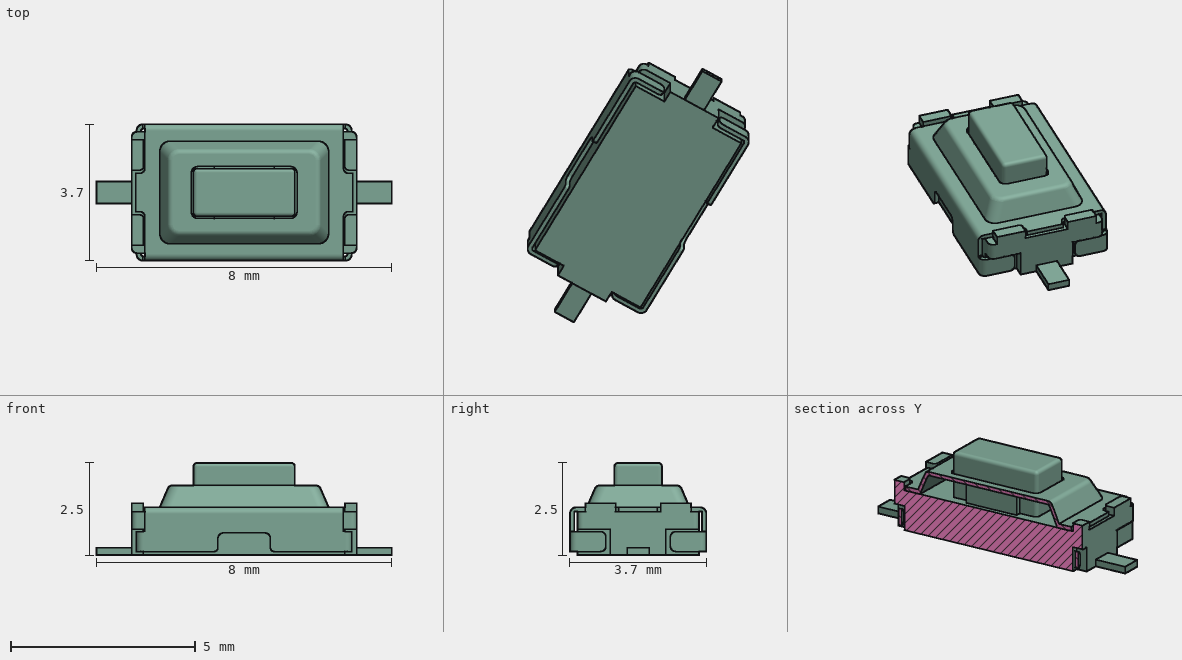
import cadquery as cq
import math

overall_length = 8.0
overall_height = 2.5

base_length = 6.1
base_width = 3.3
base_corner_radius = 0.15
notch_depth = 0.32
notch_height = 0.7
notch_inner_y = 0.75
pad_top_z = 1.41
pad_inner_y = 0.61
pad_outer_y = 1.43
pad_corner_radius = 0.09

sheet = 0.12
cover_width = 3.7
cover_top_z = 1.3
cover_length = 5.38
fold_radius = 0.18
fold_inner_radius = 0.07
skirt_bottom_z = 0.1
tongue_length = 5.87
tongue_width = 1.04
tongue_root_radius = 0.14
tab_span = 5.83
skirt_band_top_z = 0.65
tab_top_z = 0.63
tab_inner_y = 0.87
tab_corner_radius = 0.14
window_width = 1.42
window_top_z = 0.6
window_top_radius = 0.15
window_foot_radius = 0.1

dome_length = 4.58
dome_width = 2.78
dome_top_z = 1.89
dome_draft = 23.3
dome_corner_radius = 0.33
dome_rim_radius = 0.15

button_length = 2.75
button_width = 1.3
button_radius = 0.1
button_gap = 0.06
hole_corner_radius = 0.18
lug_length = 1.63
lug_reach = 0.16

terminal_width = 0.6
terminal_thickness = 0.2

base_top_z = cover_top_z - sheet
skirt_band_length = tab_span - 2 * fold_radius
notch_floor_x = base_length / 2 - notch_depth
dome_ceiling_z = dome_top_z - sheet
draft_slope = math.tan(math.radians(dome_draft))


def block(x_range, y_range, z_range):
    """Box between the given limits along each axis."""
    (x0, x1), (y0, y1), (z0, z1) = x_range, y_range, z_range
    return cq.Workplane("XY").box(x1 - x0, y1 - y0, z1 - z0, centered=False).translate((x0, y0, z0))


def centered_block(length, width, z_range):
    """Box centred on the Z axis between two heights."""
    return block((-length / 2, length / 2), (-width / 2, width / 2), z_range)


def at_four_corners(shape):
    """The shape at +X +Y together with its mirror images in the other quadrants."""
    pair = shape.union(shape.mirror("XZ"))
    return pair.union(pair.mirror("YZ"))


def make_base():
    """Block with four corner notches and four pads that locate the cover."""
    body = centered_block(base_length, base_width, (0, base_top_z))
    body = body.edges("|Z").fillet(base_corner_radius)
    notch = block((notch_floor_x, base_length), (notch_inner_y, base_width), (0, notch_height))
    pad = block((notch_floor_x, base_length / 2), (pad_inner_y, pad_outer_y), (base_top_z, pad_top_z))
    pad = pad.edges("|Z and <X and <Y").fillet(pad_corner_radius)
    return body.cut(at_four_corners(notch)).union(at_four_corners(pad))


def make_roof_and_skirts():
    """Folded channel along X, with a tongue between the pads at each end."""
    channel = centered_block(cover_length, cover_width, (skirt_bottom_z, cover_top_z))
    channel = channel.edges("|X and >Z").fillet(fold_radius)
    channel = channel.cut(centered_block(cover_length, cover_width - 2 * sheet, (0, base_top_z)))
    tongue = centered_block(tongue_length, tongue_width, (base_top_z, cover_top_z))
    channel = channel.union(tongue)
    root = cq.selectors.BoxSelector(
        (-cover_length / 2 - sheet / 2, -tongue_width / 2 - sheet / 2, base_top_z),
        (cover_length / 2 + sheet / 2, tongue_width / 2 + sheet / 2, cover_top_z),
    )
    return channel.edges("|Z").edges(root).fillet(tongue_root_radius)


def make_tab_band():
    """Lower band of the skirts, folded round the corners into four slightly lower tabs."""
    inner_width = cover_width - 2 * sheet
    band_z = (skirt_bottom_z, tab_top_z)
    band = centered_block(tab_span, cover_width, band_z).edges("|Z").fillet(fold_radius)
    inside = centered_block(tab_span - 2 * sheet, inner_width, band_z)
    inside = inside.edges("|Z").fillet(fold_inner_radius)
    opening = centered_block(tab_span, 2 * tab_inner_y, band_z)
    band = band.cut(inside).cut(opening)
    tab_ends = cq.selectors.BoxSelector(
        (-tab_span, -tab_inner_y - sheet, 0),
        (tab_span, tab_inner_y + sheet, cover_top_z),
    )
    tabs = band.edges("|X").edges(tab_ends).fillet(tab_corner_radius)
    skirt_z = (skirt_bottom_z, skirt_band_top_z)
    skirts = centered_block(skirt_band_length, cover_width, skirt_z)
    skirts = skirts.cut(centered_block(skirt_band_length, inner_width, skirt_z))
    return tabs.union(skirts)


def make_window():
    """Cutter for the opening in both skirts: rounded at the top, flared at the foot."""
    half = window_width / 2
    foot_z = skirt_bottom_z
    diagonal = math.sqrt(0.5)
    foot_inset = window_foot_radius * (1 - diagonal)
    top_inset = window_top_radius * (1 - diagonal)
    profile = (
        cq.Workplane("XZ")
        .moveTo(-half - window_foot_radius, foot_z)
        .threePointArc((-half - foot_inset, foot_z + foot_inset), (-half, foot_z + window_foot_radius))
        .lineTo(-half, window_top_z - window_top_radius)
        .threePointArc((-half + top_inset, window_top_z - top_inset), (-half + window_top_radius, window_top_z))
        .lineTo(half - window_top_radius, window_top_z)
        .threePointArc((half - top_inset, window_top_z - top_inset), (half, window_top_z - window_top_radius))
        .lineTo(half, foot_z + window_foot_radius)
        .threePointArc((half + foot_inset, foot_z + foot_inset), (half + window_foot_radius, foot_z))
        .close()
    )
    return profile.extrude(cover_width / 2, both=True)


def make_drafted_block(length, width, z_range):
    """Four-sided frustum; length and width are its size at the lower height."""
    bottom_z, top_z = z_range
    solid = cq.Workplane("XY").workplane(offset=bottom_z).rect(length, width)
    return solid.extrude(top_z - bottom_z, taper=dome_draft)


def make_dome():
    """Outer form of the dome, with rounded corners and a rounded rim."""
    dome = make_drafted_block(dome_length, dome_width, (cover_top_z, dome_top_z))
    dome = dome.edges("not #Z").fillet(dome_corner_radius)
    return dome.faces(">Z").edges().fillet(dome_rim_radius)


def make_dome_cavity():
    """Space under the dome, one sheet thickness inside its outer form."""
    wall_run = sheet / math.cos(math.radians(dome_draft))
    inset = wall_run - sheet * draft_slope
    length = dome_length - 2 * inset
    width = dome_width - 2 * inset
    cavity = make_drafted_block(length, width, (base_top_z, dome_ceiling_z))
    return cavity.edges("not #Z").fillet(dome_corner_radius - sheet)


def make_cover():
    """Roof, skirts, tabs and dome in one folded sheet, with the button hole."""
    hole = centered_block(
        button_length + 2 * button_gap, button_width + 2 * button_gap, (base_top_z, dome_top_z)
    )
    hole = hole.edges("|Z").fillet(hole_corner_radius)
    cover = make_roof_and_skirts().union(make_tab_band()).union(make_dome())
    return cover.cut(make_window()).cut(make_dome_cavity()).cut(hole)


def make_button():
    """Rounded key with a lug on each long side, held under the dome."""
    key = centered_block(button_length, button_width, (base_top_z, overall_height))
    key = key.edges("|Z").fillet(button_radius)
    key = key.faces(">Z").edges().fillet(button_radius)
    lugs = centered_block(lug_length, button_width + 2 * lug_reach, (base_top_z, dome_ceiling_z))
    return key.union(lugs)


def make_terminal(side):
    """Flat lead standing out from one end of the base; side is +1 or -1 along X."""
    length = (overall_length - base_length) / 2
    lead = cq.Workplane("XY").box(length, terminal_width, terminal_thickness)
    return lead.translate((side * (base_length + length) / 2, 0, terminal_thickness / 2))


base = make_base()
cover = make_cover()
button = make_button()
terminals = [make_terminal(side) for side in (-1, 1)]

result = cq.Compound.makeCompound(
    [base.val(), cover.val(), button.val(), *[terminal.val() for terminal in terminals]]
)